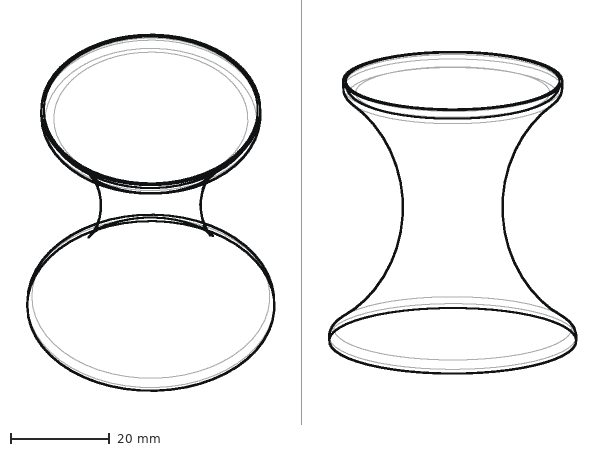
import cadquery as cq
import math

height = 54.5
base_diameter = 50.0
rim_diameter = 44.3
waist_radius = 10.1
waist_height = 27.95
flare_radius = 30.0
edge_radius = 2.0
dish_diameter = 43.3
dish_depth = 2.45
dish_corner_radius = 2.0

base_radius = base_diameter / 2
rim_radius = rim_diameter / 2
dish_radius = dish_diameter / 2
flare_center_radius = waist_radius + flare_radius


def edge_rounding(outer_radius, direction):
    """Return (start, middle, end) of the arc from the flare to the vertical edge.

    direction is +1 above the waist and -1 below it.
    """
    center_radius = outer_radius - edge_radius
    run = flare_center_radius - center_radius
    rise = math.sqrt((flare_radius + edge_radius) ** 2 - run ** 2)
    center_height = waist_height + direction * rise
    sweep = math.atan2(rise, run)

    def point_at(angle):
        return (
            center_radius + edge_radius * math.cos(angle),
            center_height - direction * edge_radius * math.sin(angle),
        )

    return point_at(sweep), point_at(sweep / 2), point_at(0)


def make_body():
    base_start, base_middle, base_end = edge_rounding(base_radius, -1)
    rim_start, rim_middle, rim_end = edge_rounding(rim_radius, 1)
    profile = (
        cq.Workplane("XZ")
        .lineTo(base_radius, 0)
        .lineTo(*base_end)
        .threePointArc(base_middle, base_start)
        .threePointArc((waist_radius, waist_height), rim_start)
        .threePointArc(rim_middle, rim_end)
        .lineTo(rim_radius, height)
        .lineTo(0, height)
        .close()
    )
    return profile.revolve(360, (0, 0, 0), (0, 1, 0))


def make_dish():
    """Round recess in the top face with a rounded corner around its floor."""
    return (
        cq.Workplane("XY")
        .workplane(offset=height - dish_depth)
        .circle(dish_radius)
        .extrude(dish_depth)
        .faces("<Z")
        .edges()
        .fillet(dish_corner_radius)
    )


result = make_body().cut(make_dish())